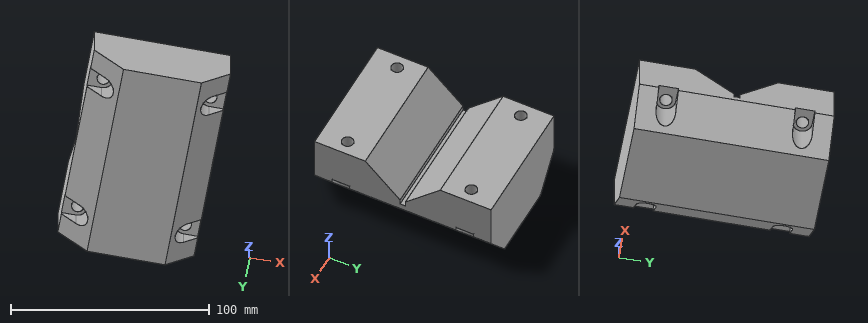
import cadquery as cq

width = 70.0
length = 100.0
height = 46.2
base_width = 40.0
chamfer_height = 20.0

groove_width = 42.4
relief_width = 3.0
relief_depth = 3.0
groove_depth = (groove_width - relief_width) / 2

hole_diameter = 6.3
hole_spacing_x = 55.0
hole_spacing_y = 70.0
pocket_width = 10.0
pocket_top = 22.0


def make_block():
    """Block with sloped lower sides, extruded along Y."""
    return (
        cq.Workplane("XZ")
        .moveTo(-base_width / 2, 0)
        .lineTo(base_width / 2, 0)
        .lineTo(width / 2, chamfer_height)
        .lineTo(width / 2, height)
        .lineTo(-width / 2, height)
        .lineTo(-width / 2, chamfer_height)
        .close()
        .extrude(length / 2, both=True)
    )


def make_groove():
    """V groove and relief slot running through the block along X."""
    root = height - groove_depth
    floor = root - relief_depth
    return (
        cq.Workplane("YZ")
        .moveTo(-groove_width / 2, height)
        .lineTo(-relief_width / 2, root)
        .lineTo(-relief_width / 2, floor)
        .lineTo(relief_width / 2, floor)
        .lineTo(relief_width / 2, root)
        .lineTo(groove_width / 2, height)
        .close()
        .extrude(width / 2, both=True)
    )


def make_head_pocket(x, y):
    """Screw-head pocket, round on the inner side and open to the outer side."""
    side = width / 2 if x > 0 else -width / 2
    opening_length = abs(side - x)
    opening_center = (x + side) / 2
    round_end = cq.Workplane("XY").center(x, y).circle(pocket_width / 2).extrude(pocket_top)
    opening = (
        cq.Workplane("XY")
        .center(opening_center, y)
        .rect(opening_length, pocket_width)
        .extrude(pocket_top)
    )
    return round_end.union(opening)


result = make_block().cut(make_groove())
for x in (-hole_spacing_x / 2, hole_spacing_x / 2):
    for y in (-hole_spacing_y / 2, hole_spacing_y / 2):
        hole = cq.Workplane("XY").center(x, y).circle(hole_diameter / 2).extrude(height)
        result = result.cut(hole).cut(make_head_pocket(x, y))